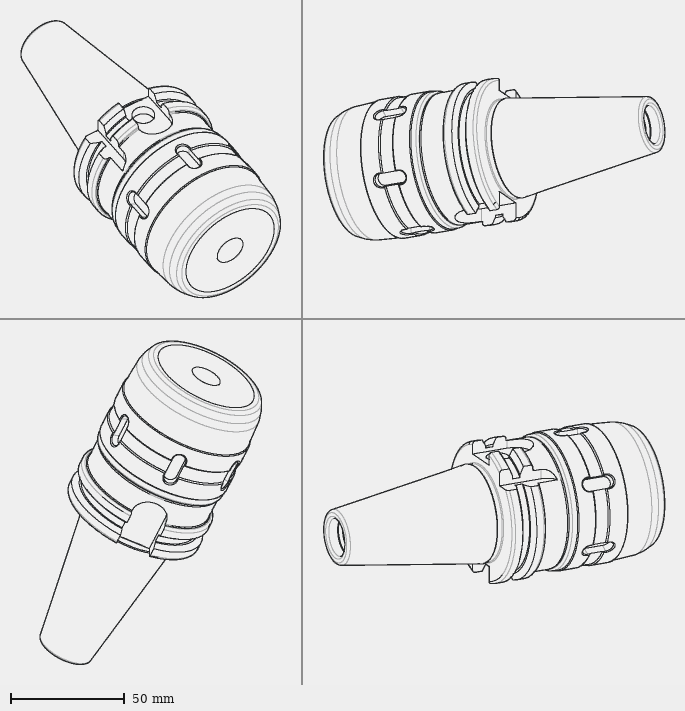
import cadquery as cq
import math

length = 148.9

small_diameter = 24.7
gauge_diameter = 44.5
taper_length = 68.3
tip_fillet = 1.3
relief_diameter = 43.8
relief_bevel = 0.5

flange_start = 71.5
flange_end = 87.9
flange_diameter = 63.5
flange_fillet = 1.2
flange_root_fillet = 0.5
groove_center = 79.7
groove_floor_width = 3.5
groove_floor_diameter = 55.7
groove_flank_diameter = 57.6
groove_flank_angle = 30.0

neck_diameter = 59.0
neck_end = 100.2
neck_bevel_length = 0.9
neck_bevel_depth = 0.3
nose_diameter = 46.5

through_diameter = 13.5
thread_diameter = 13.8
thread_end = 37.2
pilot_diameter = 17.0
pilot_depth = 7.9
undercut_diameter = 17.5
undercut_start = 5.4
undercut_bevel = 0.6
mouth_fillet = 1.0

slot_width = 16.1
slot_end = 96.3
top_floor_height = 24.9
bottom_floor_height = 22.5
dimple_diameter = 10.0
dimple_depth = 4.6
notch_wall = 18.5
notch_floor = 18.6
notch_radius = 6.0
notch_arc_start = 91.9

nut_diameter = 62.0
nut_rim_diameter = 61.0
nut_rim_fillet = 1.0
band_start = 103.8
band_end = 128.0
band_step = 0.5
ring_groove_start = 112.9
ring_groove_end = 118.8
ring_groove_depth = 0.6
nut_cone_end = 142.5
nut_cone_end_diameter = 59.3
nut_face_diameter = 53.6
nut_shoulder_fillet = 11.0
nut_face_fillet = 2.1

spanner_slots = 6
spanner_slot_length = 14.9
spanner_slot_width = 6.0
spanner_floor_radius = 27.0


def revolve_about_x(points):
    """Turn a closed (x, radius) outline about the X axis."""
    return cq.Workplane("XY").polyline(points).close().revolve(360, (0, 0, 0), (1, 0, 0))


def cylinder(start, end, diameter):
    """Solid cylinder on the X axis."""
    return cq.Workplane("YZ", origin=(start, 0, 0)).circle(diameter / 2).extrude(end - start)


def round_over(body, x, diameter, fillet):
    """Fillet the circular edge of this diameter that lies at x."""
    tolerance = 0.01

    def is_wanted(edge):
        on_plane = abs(edge.Center().x - x) < tolerance
        return edge.geomType() == "CIRCLE" and on_plane and abs(edge.radius() - diameter / 2) < tolerance

    return body.edges().filter(is_wanted).fillet(fillet)


def make_shank():
    relief_start = taper_length + relief_bevel
    shank = revolve_about_x([
        (0, 0),
        (0, small_diameter / 2),
        (taper_length, gauge_diameter / 2),
        (relief_start, relief_diameter / 2),
        (flange_start, relief_diameter / 2),
        (flange_start, 0),
    ])
    return round_over(shank, 0, small_diameter, tip_fillet)


def make_flange():
    flange = cylinder(flange_start, flange_end, flange_diameter).edges().fillet(flange_fillet)
    floor_radius = groove_floor_diameter / 2
    rim_radius = flange_diameter / 2
    half_floor = groove_floor_width / 2
    flank_radius = groove_flank_diameter / 2
    flank_run = (rim_radius - flank_radius) * math.tan(math.radians(groove_flank_angle))
    half_rim = half_floor + flank_run
    v_groove = revolve_about_x([
        (groove_center - half_floor, floor_radius),
        (groove_center + half_floor, floor_radius),
        (groove_center + half_floor, flank_radius),
        (groove_center + half_rim, rim_radius),
        (groove_center - half_rim, rim_radius),
        (groove_center - half_floor, flank_radius),
    ])
    return flange.cut(v_groove)


def make_neck():
    neck_radius = neck_diameter / 2
    nose_radius = nose_diameter / 2
    return revolve_about_x([
        (flange_end, 0),
        (flange_end, neck_radius),
        (neck_end - neck_bevel_length, neck_radius),
        (neck_end, neck_radius - neck_bevel_depth),
        (neck_end, nose_radius),
        (length, nose_radius),
        (length, 0),
    ])


def make_bore():
    pilot_radius = pilot_diameter / 2
    undercut_radius = undercut_diameter / 2
    pilot = revolve_about_x([
        (0, 0),
        (0, pilot_radius),
        (undercut_start, pilot_radius),
        (undercut_start + undercut_bevel, undercut_radius),
        (pilot_depth, undercut_radius),
        (pilot_depth, 0),
    ])
    thread = cylinder(pilot_depth, thread_end, thread_diameter)
    passage = cylinder(thread_end, length, through_diameter)
    return pilot.union(thread).union(passage)


def drive_slot(floor_height, direction):
    """Round-ended slot open at the front of the flange; direction is +1 for top, -1 for bottom."""
    radius = slot_width / 2
    arc_start = slot_end - radius
    depth = flange_diameter / 2 - floor_height
    return (
        cq.Workplane("XY", origin=(0, 0, direction * floor_height))
        .moveTo(flange_start, -radius)
        .lineTo(arc_start, -radius)
        .threePointArc((slot_end, 0), (arc_start, radius))
        .lineTo(flange_start, radius)
        .close()
        .extrude(direction * depth)
    )


def make_dimple():
    return (
        cq.Workplane("XY", origin=(groove_center, 0, top_floor_height))
        .circle(dimple_diameter / 2)
        .extrude(-dimple_depth)
    )


def make_corner_notch():
    """Square corner cut whose inner end is rounded about a vertical axis."""
    outside = -flange_diameter / 2
    return (
        cq.Workplane("XY", origin=(0, 0, notch_floor))
        .moveTo(flange_start, -notch_wall)
        .lineTo(notch_arc_start, -notch_wall)
        .radiusArc((notch_arc_start + notch_radius, -notch_wall - notch_radius), notch_radius)
        .lineTo(notch_arc_start + notch_radius, outside)
        .lineTo(flange_start, outside)
        .close()
        .extrude(flange_diameter / 2)
    )


def make_holder():
    holder = make_shank().union(make_flange()).union(make_neck())
    holder = round_over(holder, flange_start, relief_diameter, flange_root_fillet)
    holder = round_over(holder, flange_end, neck_diameter, flange_root_fillet)
    holder = holder.cut(make_bore())
    holder = round_over(holder, 0, pilot_diameter, mouth_fillet)
    holder = holder.cut(drive_slot(top_floor_height, 1)).cut(drive_slot(bottom_floor_height, -1))
    return holder.cut(make_dimple()).cut(make_corner_notch())


def make_nut_blank():
    nut_radius = nut_diameter / 2
    groove_radius = nut_radius - ring_groove_depth
    blank = revolve_about_x([
        (neck_end, nose_diameter / 2),
        (neck_end, nut_rim_diameter / 2),
        (band_start, nut_rim_diameter / 2),
        (band_start + band_step, nut_radius),
        (ring_groove_start - ring_groove_depth, nut_radius),
        (ring_groove_start, groove_radius),
        (ring_groove_end, groove_radius),
        (ring_groove_end + ring_groove_depth, nut_radius),
        (band_end, nut_radius),
        (band_end + band_step, nut_radius - band_step),
        (nut_cone_end, nut_cone_end_diameter / 2),
        (length, nut_face_diameter / 2),
        (length, nose_diameter / 2),
    ])
    blank = round_over(blank, neck_end, nut_rim_diameter, nut_rim_fillet)
    blank = round_over(blank, nut_cone_end, nut_cone_end_diameter, nut_shoulder_fillet)
    return round_over(blank, length, nut_face_diameter, nut_face_fillet)


def spanner_slot(angle):
    """Flat-bottomed slot with a bevelled rim, turned about X by the angle."""
    slot_center = (ring_groove_start + ring_groove_end) / 2
    bevel_start = nut_diameter / 2 - ring_groove_depth
    well = (
        cq.Workplane("XY", origin=(slot_center, 0, spanner_floor_radius))
        .slot2D(spanner_slot_length, spanner_slot_width)
        .extrude(nut_diameter / 2 - spanner_floor_radius)
    )
    rim = (
        cq.Workplane("XY", origin=(slot_center, 0, bevel_start))
        .slot2D(spanner_slot_length, spanner_slot_width)
        .extrude(ring_groove_depth, taper=-45)
    )
    return well.union(rim).rotate((0, 0, 0), (1, 0, 0), angle)


def make_nut():
    nut = make_nut_blank()
    for index in range(spanner_slots):
        nut = nut.cut(spanner_slot(index * 360 / spanner_slots))
    return nut


holder = make_holder()
nut = make_nut()
result = cq.Compound.makeCompound([holder.val(), nut.val()])